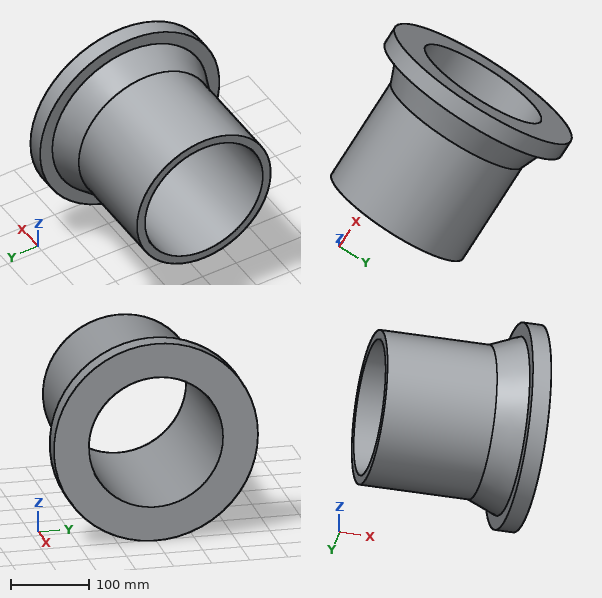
import cadquery as cq

flange_diameter = 268.0
pipe_diameter = 200.0
bore_diameter = 176.0
flare_diameter = 231.5
total_length = 207.0
flange_thickness = 24.0
flare_length = 39.0

flange_start = total_length - flange_thickness
flare_start = flange_start - flare_length

body = (
    cq.Workplane("XY")
    .lineTo(0, pipe_diameter / 2)
    .lineTo(flare_start, pipe_diameter / 2)
    .lineTo(flange_start, flare_diameter / 2)
    .lineTo(flange_start, flange_diameter / 2)
    .lineTo(total_length, flange_diameter / 2)
    .lineTo(total_length, 0)
    .close()
    .revolve(360, (0, 0, 0), (1, 0, 0))
)

bore = cq.Workplane("YZ").circle(bore_diameter / 2).extrude(total_length)

result = body.cut(bore)